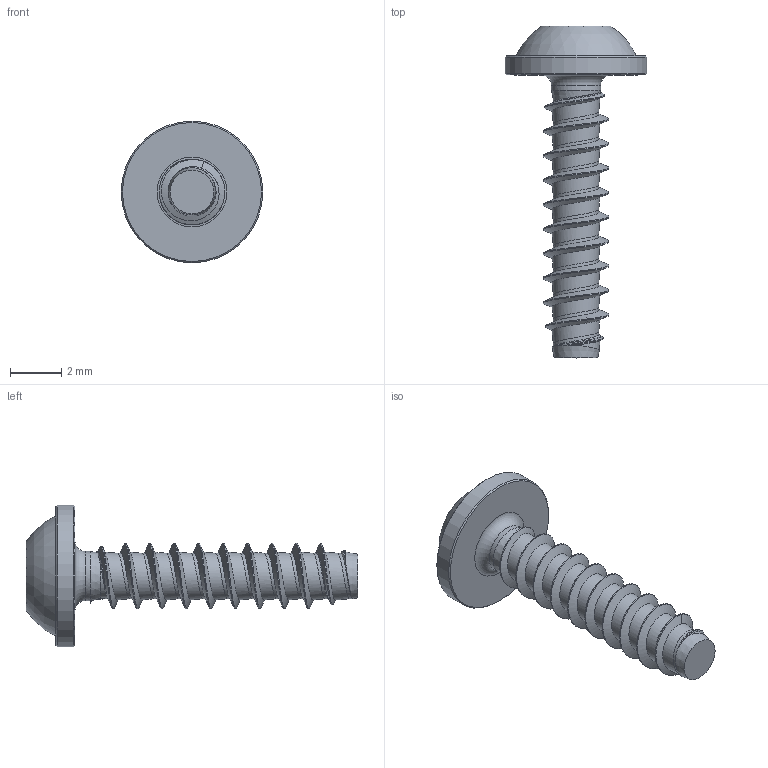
import cadquery as cq
import math


collar_radius = 2.75
collar_height = 0.74
collar_edge_chamfer = 0.05
dome_base_radius = 2.34
dome_top_radius = 1.32
head_height = 1.9

shank_length = 11.0
neck_radius = 0.96
neck_fillet = 0.4
neck_length = 0.6
neck_taper_length = 0.38
core_radius = 0.885
tip_radius = 0.85
tip_taper_length = 0.5
tip_taper_radius = 0.94

pitch = 0.95
crest_radius = 1.275
first_crest_z = -0.77
crest_half_width = 0.02
flank_base_radius = 0.935
flank_base_half_width = 0.155
root_head_edge = 0.175
root_tail_edge = 0.65
root_shoulder_radius = 0.95
root_shoulder_offset = 0.13
foot_radius = 0.8
run_in_length = 0.95
run_in_end_radius = 1.075
run_out_length = 1.5
run_out_end_radius = 0.82
root_end_z = -0.5
overrun = 0.7
trim_allowance = 2.5

neck_end_z = -neck_length
tip_z = -shank_length
untrimmed_z = tip_z - trim_allowance


def make_head():
    """Collar with chamfered edges under a flat-topped spherical dome."""
    dome_height = head_height - collar_height
    centre_depth = (dome_base_radius**2 - dome_top_radius**2 - dome_height**2) / (2 * dome_height)
    sphere_radius = math.hypot(dome_base_radius, centre_depth)
    mid_height = dome_height / 2
    mid_radius = math.sqrt(sphere_radius**2 - (mid_height + centre_depth) ** 2)

    collar = cq.Workplane("XY").circle(collar_radius).extrude(collar_height)
    collar = collar.edges().chamfer(collar_edge_chamfer)
    dome = (
        cq.Workplane("XZ")
        .lineTo(dome_base_radius, 0)
        .lineTo(dome_base_radius, collar_height)
        .threePointArc((mid_radius, collar_height + mid_height), (dome_top_radius, head_height))
        .lineTo(0, head_height)
        .close()
        .revolve(360, (0, 0, 0), (0, 1, 0))
    )
    return collar.union(dome)


def make_core():
    """Neck, filleted into the collar, tapering to the plain core of the thread."""
    fillet_start_radius = neck_radius + neck_fillet
    arc_inset = neck_fillet * (1 - math.sqrt(0.5))
    return (
        cq.Workplane("XZ")
        .lineTo(fillet_start_radius, 0)
        .threePointArc((neck_radius + arc_inset, -arc_inset), (neck_radius, -neck_fillet))
        .lineTo(neck_radius, neck_end_z)
        .lineTo(core_radius, neck_end_z - neck_taper_length)
        .lineTo(core_radius, untrimmed_z)
        .lineTo(0, untrimmed_z)
        .close()
        .revolve(360, (0, 0, 0), (0, 1, 0))
    )


def offset_at(radius, start, end):
    """Axial offset at which the straight line from start to end reaches a radius."""
    share = (radius - start[0]) / (end[0] - start[0])
    return start[1] + share * (end[1] - start[1])


def crest_profile():
    """Corners of the sharp symmetric crest, as radius and axial offset."""
    flank_top = (crest_radius, crest_half_width)
    flank_base = (flank_base_radius, flank_base_half_width)
    foot_half_width = offset_at(foot_radius, flank_top, flank_base)
    return [
        (foot_radius, foot_half_width),
        (crest_radius, crest_half_width),
        (crest_radius, -crest_half_width),
        (foot_radius, -foot_half_width),
    ]


def root_profile():
    """Corners of the thickened root, whose long tail slopes down to the core on the tip side."""
    shoulder = (root_shoulder_radius, root_shoulder_offset)
    foot_offset = offset_at(foot_radius, shoulder, (core_radius, root_head_edge))
    tail_end = (root_tail_edge + pitch - foot_offset) / 2
    tail_slope = (root_shoulder_radius - core_radius) / (root_shoulder_offset + root_tail_edge)
    tail_end_radius = core_radius - tail_slope * (tail_end - root_tail_edge)
    return [
        (foot_radius, foot_offset),
        shoulder,
        (tail_end_radius, -tail_end),
        (foot_radius, -tail_end),
    ]


def make_ridge(profile, start_z, length, upward=True, sink_slope=0):
    """Right-handed ridge that leaves start_z at full height and sinks by sink_slope along Z."""
    centre = cq.Vector(0, 0, start_z)
    direction = cq.Vector(0, 0, 1 if upward else -1)
    if sink_slope:
        cone_angle = -math.degrees(math.atan(sink_slope))
        path = cq.Wire.makeHelix(pitch, length, crest_radius, centre, direction, cone_angle)
    else:
        path = cq.Wire.makeHelix(pitch, length, crest_radius, centre, direction)
    if not upward:
        path = path.rotate(cq.Vector(0, 0, 0), cq.Vector(0, 0, 1), 180)
    corners = [(radius, start_z + offset) for radius, offset in profile]
    ridge = cq.Workplane("XZ").polyline(corners).close().sweep(cq.Workplane(obj=path), isFrenet=True)
    start_angle = 360 * (start_z - first_crest_z) / pitch
    return ridge.rotate((0, 0, 0), (0, 0, 1), start_angle)


def make_thread():
    """Root along the whole thread, and a crest that rises at the neck and sinks at the tip."""
    full_start_z = tip_z + run_out_length
    full_end_z = neck_end_z - run_in_length
    run_in_slope = (crest_radius - run_in_end_radius) / run_in_length
    run_out_slope = (crest_radius - run_out_end_radius) / run_out_length

    crest = crest_profile()
    full_crest = make_ridge(crest, full_start_z, full_end_z - full_start_z)
    run_in = make_ridge(crest, full_end_z, run_in_length + overrun, True, run_in_slope)
    run_out = make_ridge(crest, full_start_z, run_out_length + overrun, False, run_out_slope)
    root = make_ridge(root_profile(), tip_z - overrun, root_end_z - tip_z + overrun)
    neck_zone = cq.Workplane("XY").workplane(offset=neck_end_z).circle(collar_radius).extrude(neck_length)
    return [root, full_crest, run_in.cut(neck_zone), run_out]


def make_tip_cutter():
    """Block that trims the shank to length and tapers its last stretch."""
    taper_start_z = tip_z + tip_taper_length
    return (
        cq.Workplane("XZ")
        .moveTo(0, tip_z)
        .lineTo(tip_radius, tip_z)
        .lineTo(tip_taper_radius, taper_start_z)
        .lineTo(collar_radius, taper_start_z)
        .lineTo(collar_radius, untrimmed_z)
        .lineTo(0, untrimmed_z)
        .close()
        .revolve(360, (0, 0, 0), (0, 1, 0))
    )


screw = make_core()
for thread_part in make_thread():
    screw = screw.union(thread_part)
screw = screw.cut(make_tip_cutter()).union(make_head())
result = screw.rotate((0, 0, 0), (1, 0, 0), -90)